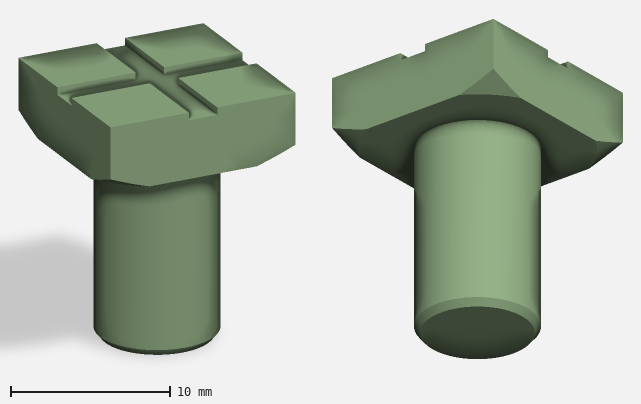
import cadquery as cq
import math

total_height = 17.5
head_width = 13.0
head_height = 4.5
shank_diameter = 8.0
tip_chamfer_height = 0.47
tip_chamfer_inset = 0.38
slot_width = 2.0
slot_depth = 0.5
bearing_radius = 7.5
corner_cut_angle = 30.0

head_bottom = total_height - head_height
shank_radius = shank_diameter / 2


def make_head():
    """Square head with its lower corners turned off by a cone."""
    block = (
        cq.Workplane("XY")
        .workplane(offset=head_bottom)
        .rect(head_width, head_width)
        .extrude(head_height)
    )
    envelope_radius = head_width
    cone_rise = (envelope_radius - bearing_radius) * math.tan(math.radians(corner_cut_angle))
    envelope = (
        cq.Workplane("XZ")
        .moveTo(0, head_bottom)
        .lineTo(bearing_radius, head_bottom)
        .lineTo(envelope_radius, head_bottom + cone_rise)
        .lineTo(envelope_radius, total_height)
        .lineTo(0, total_height)
        .close()
        .revolve()
    )
    return block.intersect(envelope)


def make_shank():
    """Round shank with a chamfered tip."""
    return (
        cq.Workplane("XZ")
        .lineTo(shank_radius - tip_chamfer_inset, 0)
        .lineTo(shank_radius, tip_chamfer_height)
        .lineTo(shank_radius, head_bottom)
        .lineTo(0, head_bottom)
        .close()
        .revolve()
    )


def cut_cross_slots(body):
    """Two crossing slots over the full width of the head's top."""
    slot_floor = cq.Workplane("XY").workplane(offset=total_height - slot_depth)
    for length_x, length_y in ((head_width, slot_width), (slot_width, head_width)):
        body = body.cut(slot_floor.rect(length_x, length_y).extrude(slot_depth))
    return body


result = cut_cross_slots(make_head().union(make_shank()))